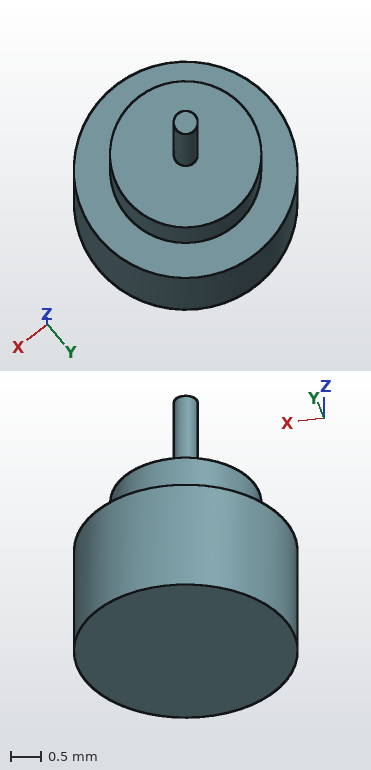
import cadquery as cq

total_height = 5.1
body_diameter = 3.7
body_height = 2.05
collar_diameter = 2.5
collar_height = 1.0
pin_diameter = 0.4
pin_length = total_height - body_height - collar_height


def add_cylinder(base, diameter, height):
    """Add a cylinder centred on the top face of the base."""
    return base.faces(">Z").workplane().circle(diameter / 2).extrude(height)


body = cq.Workplane("XY").circle(body_diameter / 2).extrude(body_height)

body_with_collar = add_cylinder(body, collar_diameter, collar_height)
result = add_cylinder(body_with_collar, pin_diameter, pin_length)